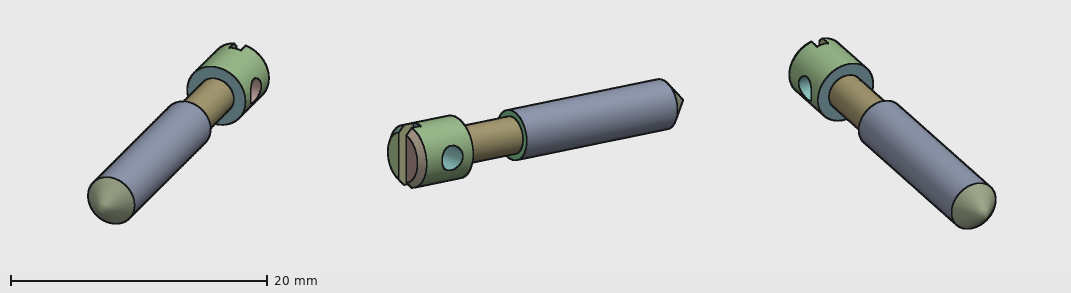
import cadquery as cq

total_length = 27.0
head_diameter = 5.0
head_length = 5.0
head_chamfer = 0.5
neck_diameter = 3.0
neck_length = 5.5
body_diameter = 4.0
slot_width = 1.0
slot_depth = 1.4
cross_hole_diameter = 2.0
cross_hole_from_head_end = 3.0

head_radius = head_diameter / 2
neck_radius = neck_diameter / 2
body_radius = body_diameter / 2
tip_length = body_radius
head_start = total_length - head_length
neck_start = head_start - neck_length


def turned_blank():
    """Pointed body, neck and chamfered head, revolved about Y."""
    half_profile = [
        (0, 0),
        (body_radius, tip_length),
        (body_radius, neck_start),
        (neck_radius, neck_start),
        (neck_radius, head_start),
        (head_radius, head_start),
        (head_radius, total_length - head_chamfer),
        (head_radius - head_chamfer, total_length),
        (0, total_length),
    ]
    return cq.Workplane("XY").polyline(half_profile).close().revolve(360, (0, 0), (0, 1))


def driver_slot():
    """Screwdriver slot across the head end, running along Z."""
    slot_center = total_length - slot_depth / 2
    return cq.Workplane("XY").box(slot_width, slot_depth, head_diameter).translate((0, slot_center, 0))


def cross_hole():
    """Hole through the head along X."""
    return (
        cq.Workplane("YZ")
        .center(total_length - cross_hole_from_head_end, 0)
        .circle(cross_hole_diameter / 2)
        .extrude(head_radius, both=True)
    )


result = turned_blank().cut(driver_slot()).cut(cross_hole())